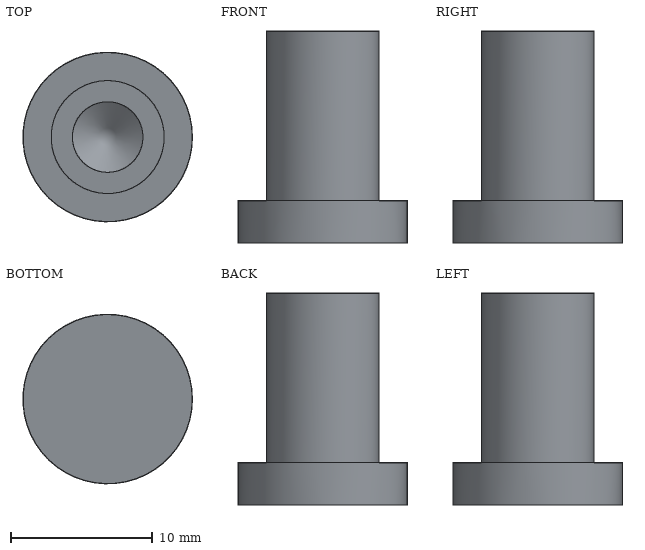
import cadquery as cq
import math

total_height = 15.0
flange_diameter = 12.0
flange_height = 3.0
shank_diameter = 8.0

bore_diameter = 5.0
bore_depth = total_height - flange_height
drill_point_angle = 118.0


def make_body():
    """Round flange with a concentric shank standing on it."""
    flange = cq.Workplane("XY").circle(flange_diameter / 2).extrude(flange_height)
    shank = cq.Workplane("XY").circle(shank_diameter / 2).extrude(total_height)
    return flange.union(shank)


def make_bore():
    """Drilled hole volume, revolved about the part axis."""
    radius = bore_diameter / 2
    shoulder_z = total_height - bore_depth
    point_depth = radius / math.tan(math.radians(drill_point_angle / 2))
    return (
        cq.Workplane("XZ")
        .moveTo(0, total_height)
        .lineTo(radius, total_height)
        .lineTo(radius, shoulder_z)
        .lineTo(0, shoulder_z - point_depth)
        .close()
        .revolve(360, (0, 0, 0), (0, 1, 0))
    )


result = make_body().cut(make_bore())